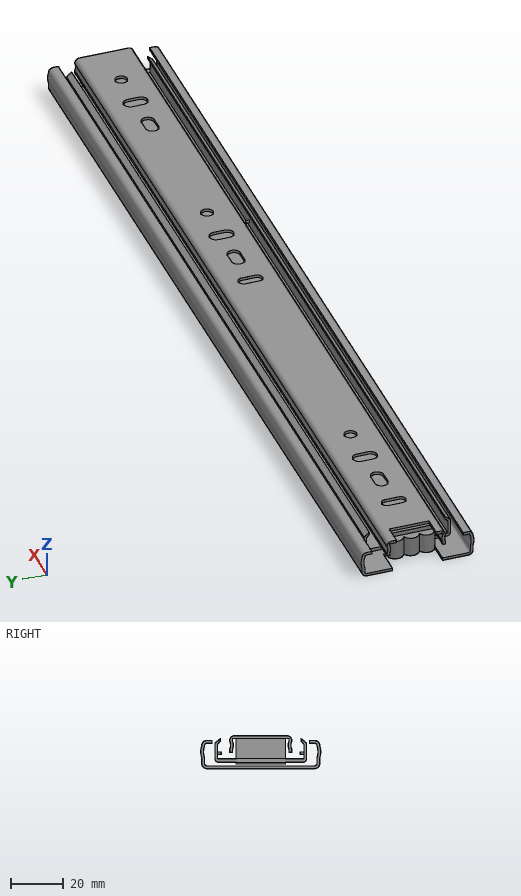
import cadquery as cq

length = 350.0
corner_cos = 0.5 ** 0.5
sheet = 1.15

outer_half = 22.58
bulge = 0.5
outer_height = 11.0
outer_corner = 2.0
lip_edge_y = 18.5
track_low_z = 4.2
track_high_z = outer_height - outer_corner
notch_half = 10.0
notch_depth = 10.0
slot_half = 18.2
slot_start = 343.0
slot_end = 345.8

middle_start = 11.5
middle_end = 343.7
middle_sheet = 1.0
middle_half = 17.5
middle_floor_z = 2.5
middle_floor = 1.5
middle_corner = 1.5
middle_bend_z = 9.8
middle_tip_y = 15.5
middle_top_z = 11.5
nub_x = 233.0
nub_z = 6.0
nub_diameter = 1.0
nub_tip_y = 15.0

inner_start = 1.5
inner_half = 12.0
inner_roof_z = 11.5
inner_top_z = inner_roof_z + sheet
inner_corner = 2.0
inner_bottom_z = 6.3
groove_depth = 0.5
groove_low_z = 7.5
groove_high_z = inner_top_z - inner_corner
inner_notch_half = 8.0
inner_notch_end = 9.5

hole_pitch = 16.0
slot_length = 9.8
slot_width = 5.2
narrow_slot_width = 4.2
round_hole = 5.0
first_station = 26.5
second_group = 186.5
last_group = 298.5

bumper_front = 4.5
lobe_count = 3
lobe_width = 6.3
lobe_bulge = 2.0
bumper_bottom_z = 1.8
lobe_top_z = 9.8
block_start = 8.0
bumper_half = lobe_count * lobe_width / 2
lobe_root_x = bumper_front + lobe_bulge


def along_x(sketch_points, start, end):
    """Extrude a closed (Y, Z) polygon along X."""
    return cq.Workplane("YZ", origin=(start, 0, 0)).polyline(sketch_points).close().extrude(end - start)


def block(x_start, x_end, half_width, z_low, z_high):
    """Box centred on Y = 0."""
    size = (x_end - x_start, 2 * half_width, z_high - z_low)
    return cq.Workplane("XY").box(*size, centered=(False, True, False)).translate((x_start, 0, z_low))


def mirrored(half):
    """Join a half-profile on the +Y side with its mirror image."""
    return half.union(half.mirror("XZ"))


def make_outer_rail():
    inside_half = outer_half - sheet
    inside_top = outer_height - sheet
    track_mid_z = (track_low_z + track_high_z) / 2
    inside_corner = outer_corner - sheet

    def corner_mid(radius, center_z, direction):
        offset = radius * corner_cos
        return (outer_half - outer_corner + offset, center_z + direction * offset)

    low_center = outer_corner
    high_center = track_high_z
    corner_y = outer_half - outer_corner
    half = (
        cq.Workplane("YZ")
        .moveTo(0, 0)
        .lineTo(corner_y, 0)
        .threePointArc(corner_mid(outer_corner, low_center, -1), (outer_half, low_center))
        .lineTo(outer_half, track_low_z)
        .threePointArc((outer_half + bulge, track_mid_z), (outer_half, track_high_z))
        .threePointArc(corner_mid(outer_corner, high_center, 1), (corner_y, outer_height))
        .lineTo(lip_edge_y, outer_height)
        .lineTo(lip_edge_y, inside_top)
        .lineTo(corner_y, inside_top)
        .threePointArc(corner_mid(inside_corner, high_center, 1), (inside_half, high_center))
        .threePointArc((inside_half + bulge, track_mid_z), (inside_half, track_low_z))
        .lineTo(inside_half, low_center)
        .threePointArc(corner_mid(inside_corner, low_center, -1), (corner_y, sheet))
        .lineTo(0, sheet)
        .close()
        .extrude(length)
    )
    front_notch = block(0, notch_depth, notch_half, 0, sheet)
    rear_slot = block(slot_start, slot_end, slot_half, 0, sheet)
    return mirrored(half).cut(front_notch).cut(rear_slot)


def make_middle_rail():
    wall_inside = middle_half - middle_sheet
    floor_top = middle_floor_z + middle_floor
    half = along_x(
        [
            (0, middle_floor_z),
            (middle_half, middle_floor_z),
            (middle_half, middle_bend_z),
            (middle_tip_y, middle_top_z),
            (middle_tip_y, middle_top_z - middle_sheet),
            (wall_inside, middle_bend_z - middle_sheet / 2),
            (wall_inside, floor_top),
            (0, floor_top),
        ],
        middle_start,
        middle_end,
    )
    bottom_corner = cq.selectors.NearestToPointSelector((middle_start, middle_half, middle_floor_z))
    half = half.edges("|X").edges(bottom_corner).fillet(middle_corner)
    nub = (
        cq.Workplane("XZ", origin=(nub_x, nub_tip_y, nub_z))
        .circle(nub_diameter / 2)
        .extrude(nub_tip_y - wall_inside)
    )
    return mirrored(half.union(nub))


def make_inner_rail():
    wall_inside = inner_half - sheet
    groove_mid_z = (groove_low_z + groove_high_z) / 2
    corner_center = inner_half - inner_corner
    corner_offset = inner_corner * corner_cos
    half = (
        cq.Workplane("YZ", origin=(inner_start, 0, 0))
        .moveTo(0, inner_top_z)
        .lineTo(corner_center, inner_top_z)
        .threePointArc(
            (corner_center + corner_offset, groove_high_z + corner_offset),
            (inner_half, groove_high_z),
        )
        .threePointArc((inner_half - groove_depth, groove_mid_z), (inner_half, groove_low_z))
        .lineTo(inner_half, inner_bottom_z)
        .lineTo(wall_inside, inner_bottom_z)
        .lineTo(wall_inside, groove_low_z)
        .threePointArc((wall_inside - groove_depth, groove_mid_z), (wall_inside, groove_high_z))
        .lineTo(wall_inside, inner_roof_z)
        .lineTo(0, inner_roof_z)
        .close()
        .extrude(length - inner_start)
    )
    notch = block(0, inner_notch_end, inner_notch_half, inner_roof_z, inner_top_z)
    return mirrored(half).cut(notch).cut(make_fixing_holes())


def slot_cutters(stations, width, angle):
    """Slots through the top of the inner rail; an angle of 90 turns them across the rail."""
    top = cq.Workplane("XY", origin=(0, 0, inner_top_z))
    return top.pushPoints([(x, 0) for x in stations]).slot2D(slot_length, width, angle).extrude(-sheet)


def make_fixing_holes():
    """Cutters for all groups; every group ends in a long slot, a cross slot and a round hole."""
    full_groups = [first_station, second_group]
    long_stations = [start + hole_pitch for start in full_groups] + [last_group]
    cross_stations = [x + hole_pitch for x in long_stations]
    round_points = [(x + hole_pitch, 0) for x in cross_stations]
    top = cq.Workplane("XY", origin=(0, 0, inner_top_z))
    round_holes = top.pushPoints(round_points).circle(round_hole / 2).extrude(-sheet)
    narrow_slots = slot_cutters(full_groups, narrow_slot_width, 90)
    long_slots = slot_cutters(long_stations, slot_width, 0)
    cross_slots = slot_cutters(cross_stations, slot_width, 90)
    return round_holes.union(narrow_slots).union(long_slots).union(cross_slots)


def make_bumper():
    outline = cq.Workplane("XY", origin=(0, 0, bumper_bottom_z)).moveTo(lobe_root_x, -bumper_half)
    for index in range(lobe_count):
        low_y = -bumper_half + index * lobe_width
        outline = outline.threePointArc(
            (bumper_front, low_y + lobe_width / 2),
            (lobe_root_x, low_y + lobe_width),
        )
    outline = outline.lineTo(block_start, bumper_half).lineTo(block_start, -bumper_half).close()
    lobes = outline.extrude(lobe_top_z - bumper_bottom_z)
    rear = block(block_start, middle_start, bumper_half, bumper_bottom_z, inner_roof_z)
    return lobes.union(rear)


outer_rail = make_outer_rail()
middle_rail = make_middle_rail()
inner_rail = make_inner_rail()
bumper = make_bumper()

result = cq.Compound.makeCompound([outer_rail.val(), middle_rail.val(), inner_rail.val(), bumper.val()])